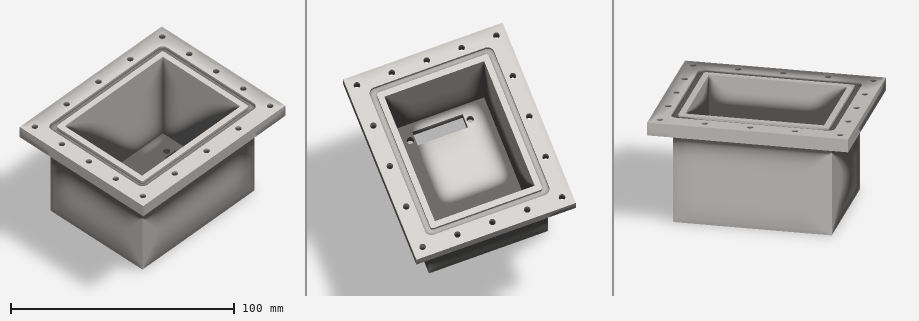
import cadquery as cq

flange_x = 76.2
flange_y = 92.1
flange_thickness = 6.2
total_height = 50.8

wall = 4.6
cavity_x = 47.7
cavity_y = 63.5
floor_thickness = 4.6
box_x = cavity_x + 2 * wall
box_y = cavity_y + 2 * wall

rim_width = 2.9
groove_width = 2.95
groove_depth = 1.8
rim_corner_radius = 1.1
rim_x = cavity_x + 2 * rim_width
rim_y = cavity_y + 2 * rim_width
groove_x = rim_x + 2 * groove_width
groove_y = rim_y + 2 * groove_width
groove_corner_radius = 3.0

bolt_diameter = 2.95
bolt_margin = 4.8
intervals_per_side = 4
bolt_pitch_x = (flange_x - 2 * bolt_margin) / intervals_per_side
bolt_pitch_y = (flange_y - 2 * bolt_margin) / intervals_per_side

connector_x = 24.0
connector_y = 6.8
connector_center_y = 24.3
screw_diameter = 3.2
screw_spacing = 28.6
screw_center_y = 24.2


def block(size_x, size_y, bottom, top):
    """Centred rectangular block between two heights."""
    return cq.Workplane("XY").workplane(offset=bottom).rect(size_x, size_y).extrude(top - bottom)


def make_shell():
    box = block(box_x, box_y, 0, total_height)
    flange = block(flange_x, flange_y, total_height - flange_thickness, total_height)
    cavity = block(cavity_x, cavity_y, floor_thickness, total_height)
    return box.union(flange).cut(cavity)


def make_groove():
    bottom = total_height - groove_depth
    outer = block(groove_x, groove_y, bottom, total_height).edges("|Z").fillet(groove_corner_radius)
    rim = block(rim_x, rim_y, bottom, total_height).edges("|Z").fillet(rim_corner_radius)
    return outer.cut(rim)


def make_bolt_holes():
    centers = []
    for column in range(intervals_per_side + 1):
        for row in range(intervals_per_side + 1):
            if column in (0, intervals_per_side) or row in (0, intervals_per_side):
                x = (column - intervals_per_side / 2) * bolt_pitch_x
                y = (row - intervals_per_side / 2) * bolt_pitch_y
                centers.append((x, y))
    return cq.Workplane("XY").pushPoints(centers).circle(bolt_diameter / 2).extrude(total_height)


def make_connector_cutout():
    opening = block(connector_x, connector_y, 0, floor_thickness).translate((0, connector_center_y, 0))
    screw_centers = [(side * screw_spacing / 2, screw_center_y) for side in (-1, 1)]
    screws = cq.Workplane("XY").pushPoints(screw_centers).circle(screw_diameter / 2).extrude(floor_thickness)
    return opening.union(screws)


result = make_shell().cut(make_groove()).cut(make_bolt_holes()).cut(make_connector_cutout())